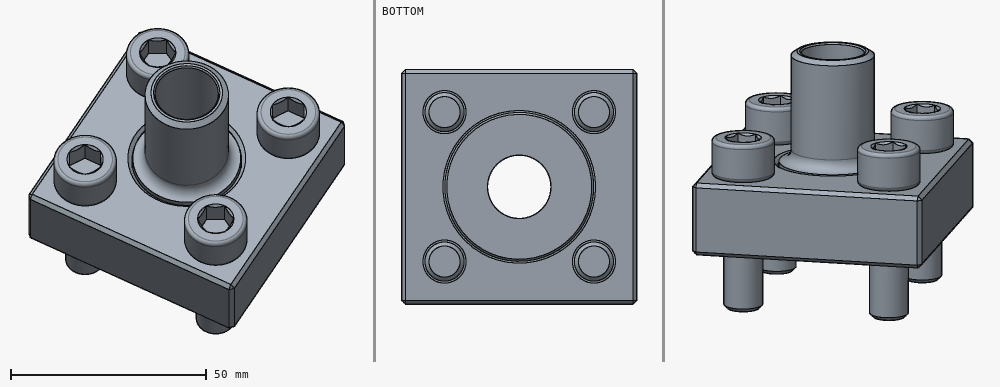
import cadquery as cq
import math


plate_side = 60.0
plate_thickness = 19.0
edge_chamfer = 1.0
chamfer_angle = 45

pipe_diameter = 21.3
bore_diameter = 16.1
pipe_top = 48.0
bevel_width = 1.55
bevel_height = 1.0
bore_chamfer = 0.4
collar_diameter = 27.5
foot_diameter = 38.0
foot_chamfer = 0.5
foot_projection = 2.0
foot_recess_depth = 6.0

plate_hole_diameter = 28.0
recess_diameter = 39.0

screw_pitch = 38.15
screw_count = 4
shank_diameter = 10.0
clearance_diameter = 11.0
tip_projection = 16.0
tip_chamfer = 1.0
head_diameter = 16.0
head_height = 10.0
head_fillet = 1.0
socket_sides = 6
socket_across_flats = 8.0
socket_across_corners = socket_across_flats / math.cos(math.pi / socket_sides)
socket_depth = 6.0
countersink_depth = socket_across_corners - socket_across_flats
turn_between_screws = 360 / screw_count


def make_plate():
    """Square plate, chamfered all round, with the pipe opening and screw holes."""
    plate = (
        cq.Workplane("XY")
        .box(plate_side, plate_side, plate_thickness, centered=(True, True, False))
        .edges()
        .chamfer(edge_chamfer)
    )
    pipe_hole = cq.Workplane("XY").circle(plate_hole_diameter / 2).extrude(plate_thickness)
    rim_chamfer = (
        cq.Workplane("XY", origin=(0, 0, plate_thickness))
        .circle(plate_hole_diameter / 2 + edge_chamfer)
        .extrude(-edge_chamfer, taper=chamfer_angle)
    )
    foot_recess = cq.Workplane("XY").circle(recess_diameter / 2).extrude(foot_recess_depth)
    screw_holes = (
        cq.Workplane("XY")
        .rect(screw_pitch, screw_pitch, forConstruction=True)
        .vertices()
        .circle(clearance_diameter / 2)
        .extrude(plate_thickness)
    )
    return plate.cut(pipe_hole).cut(rim_chamfer).cut(foot_recess).cut(screw_holes)


def make_pipe():
    """Turned weld pipe: bevelled end, flared neck, collar and wide foot."""
    bore_radius = bore_diameter / 2
    pipe_radius = pipe_diameter / 2
    collar_radius = collar_diameter / 2
    foot_radius = foot_diameter / 2
    foot_bottom = -foot_projection

    flare_radius = collar_radius - pipe_radius
    flare_top = plate_thickness + flare_radius
    flare_offset = flare_radius * (1 - math.sin(math.radians(45)))
    flare_middle = (pipe_radius + flare_offset, plate_thickness + flare_offset)

    return (
        cq.Workplane("XZ")
        .moveTo(bore_radius, foot_bottom)
        .lineTo(foot_radius - foot_chamfer, foot_bottom)
        .lineTo(foot_radius, foot_bottom + foot_chamfer)
        .lineTo(foot_radius, foot_recess_depth)
        .lineTo(collar_radius, foot_recess_depth)
        .lineTo(collar_radius, plate_thickness)
        .threePointArc(flare_middle, (pipe_radius, flare_top))
        .lineTo(pipe_radius, pipe_top - bevel_height)
        .lineTo(pipe_radius - bevel_width, pipe_top)
        .lineTo(bore_radius + bore_chamfer, pipe_top)
        .lineTo(bore_radius, pipe_top - bore_chamfer)
        .close()
        .revolve(360, (0, 0, 0), (0, 1, 0))
    )


def make_screw():
    """Socket-head screw on the Z axis, its head resting on the plate."""
    head = (
        cq.Workplane("XY", origin=(0, 0, plate_thickness))
        .circle(head_diameter / 2)
        .extrude(head_height)
        .edges()
        .fillet(head_fillet)
    )
    shank = (
        cq.Workplane("XY", origin=(0, 0, -tip_projection))
        .circle(shank_diameter / 2)
        .extrude(tip_projection + plate_thickness)
        .faces("<Z")
        .chamfer(tip_chamfer)
    )
    head_top = plate_thickness + head_height
    socket = (
        cq.Workplane("XY", origin=(0, 0, head_top))
        .polygon(socket_sides, socket_across_corners)
        .extrude(-socket_depth)
    )
    countersink = (
        cq.Workplane("XY", origin=(0, 0, head_top))
        .circle(socket_across_corners / 2)
        .extrude(-countersink_depth, taper=chamfer_angle)
    )
    return head.union(shank).cut(socket).cut(countersink)


plate = make_plate()
pipe = make_pipe()

corner_screw = make_screw().translate((screw_pitch / 2, screw_pitch / 2, 0))
screws = []
for index in range(screw_count):
    screw = corner_screw.rotate((0, 0, 0), (0, 0, 1), index * turn_between_screws)
    screws.append(screw.val())

result = cq.Compound.makeCompound([plate.val(), pipe.val(), *screws])